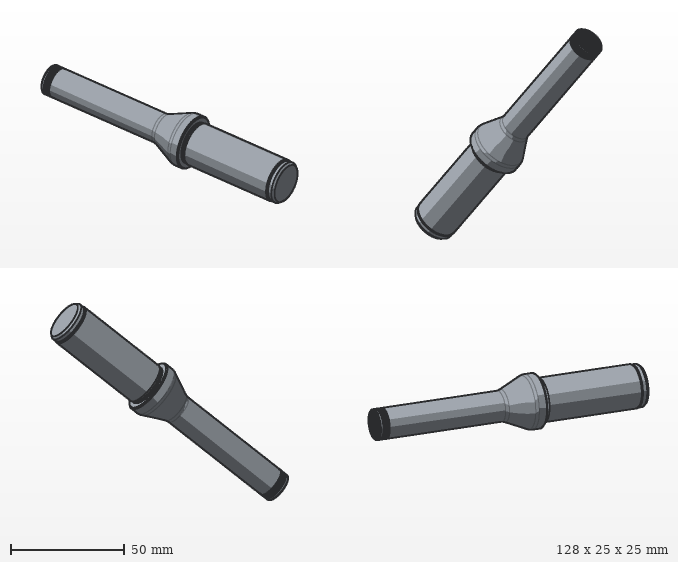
import cadquery as cq

LENGTH = 128.0

STEM_DIAMETER = 14.0
COLLAR_DIAMETER = 25.0
SHANK_DIAMETER = 20.0
RELIEF_DIAMETER = 19.5

TIP_LENGTH = 4.6
TIP_CHAMFER = 0.4
TIP_GROOVE_DEPTH = 0.1
TIP_GROOVES = ((1.5, 2.3), (2.7, 3.5), (3.8, 4.2))
FACE_GROOVE_DEPTH = 0.1
FACE_GROOVES = ((0.4, 1.2), (1.9, 2.7), (3.1, 3.7), (4.5, 5.2), (5.8, 6.3))

STEM_END = 60.0
CONE_START = 61.7
CONE_START_DIAMETER = 14.7
CONE_END = 72.3
CONE_END_DIAMETER = 24.2
COLLAR_START = 73.9
COLLAR_END = 78.1
COLLAR_CHAMFER = 0.5

FRONT_RELIEF_END = 79.2
SHANK_START = 80.0
SHANK_END = 124.2
REAR_RELIEF_START = 124.9
NECK_DEPTH = 0.3
FRONT_NECK_START = 78.5
FRONT_NECK_END = 78.8
REAR_NECK_START = 124.5
END_CHAMFER_LENGTH = 1.2
END_CHAMFER_HEIGHT = 0.9


def make_tip():
    """Disc with concentric grooves in its front face and shallow grooves around its rim."""
    radius = STEM_DIAMETER / 2
    disc = cq.Workplane("YZ").circle(radius).extrude(TIP_LENGTH)
    disc = disc.faces("<X").edges().chamfer(TIP_CHAMFER)
    for inner, outer in FACE_GROOVES:
        ring = cq.Workplane("YZ").circle(outer).circle(inner).extrude(FACE_GROOVE_DEPTH)
        disc = disc.cut(ring)
    for start, end in TIP_GROOVES:
        plane = cq.Workplane("YZ", origin=(start, 0, 0))
        ring = plane.circle(radius + TIP_GROOVE_DEPTH).circle(radius - TIP_GROOVE_DEPTH).extrude(end - start)
        disc = disc.cut(ring)
    return disc


def cone_direction():
    """Direction of the cone's side in the half profile."""
    return (CONE_END - CONE_START, (CONE_END_DIAMETER - CONE_START_DIAMETER) / 2)


def make_holder():
    """Turned stem, cone, collar and shank, revolved about X from one half profile."""
    stem_radius = STEM_DIAMETER / 2
    collar_radius = COLLAR_DIAMETER / 2
    shank_radius = SHANK_DIAMETER / 2
    relief_radius = RELIEF_DIAMETER / 2
    neck_radius = relief_radius - NECK_DEPTH
    profile = (
        cq.Workplane("XY")
        .moveTo(TIP_LENGTH, 0)
        .lineTo(TIP_LENGTH, stem_radius)
        .lineTo(STEM_END, stem_radius)
        .spline(
            [(CONE_START, CONE_START_DIAMETER / 2)],
            tangents=[(1, 0), cone_direction()],
            includeCurrent=True,
        )
        .lineTo(CONE_END, CONE_END_DIAMETER / 2)
        .spline([(COLLAR_START, collar_radius)], tangents=[cone_direction(), (1, 0)], includeCurrent=True)
        .lineTo(COLLAR_END - COLLAR_CHAMFER, collar_radius)
        .lineTo(COLLAR_END, collar_radius - COLLAR_CHAMFER)
        .lineTo(COLLAR_END, relief_radius)
        .lineTo(FRONT_NECK_START, relief_radius)
        .lineTo(FRONT_NECK_START, neck_radius)
        .lineTo(FRONT_NECK_END, neck_radius)
        .lineTo(FRONT_RELIEF_END, relief_radius)
        .lineTo(SHANK_START, shank_radius)
        .lineTo(SHANK_END, shank_radius)
        .lineTo(REAR_NECK_START, neck_radius)
        .lineTo(REAR_RELIEF_START, neck_radius)
        .lineTo(REAR_RELIEF_START, relief_radius)
        .lineTo(LENGTH - END_CHAMFER_LENGTH, relief_radius)
        .lineTo(LENGTH, relief_radius - END_CHAMFER_HEIGHT)
        .lineTo(LENGTH, 0)
        .close()
    )
    return profile.revolve(360, (0, 0, 0), (1, 0, 0))


tip = make_tip()
holder = make_holder()

result = cq.Compound.makeCompound([tip.val(), holder.val()])